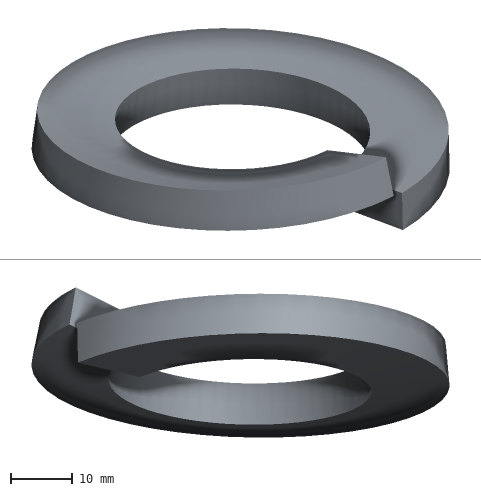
import cadquery as cq
import math

outer_radius = 34.1
bar_width = 12.8
bar_height = 6.8
pitch = 7.15

slit_width = 2.05
slit_center_y = -0.75
slit_length = 2 * bar_width
slit_height = 4 * bar_height
helix_slope = math.degrees(math.atan(pitch / (2 * math.pi * outer_radius)))

path = cq.Wire.makeHelix(pitch, pitch, outer_radius)

section = (
    cq.Workplane("XZ")
    .moveTo(outer_radius - bar_width / 2, bar_height / 2)
    .rect(bar_width, bar_height)
)

bar = section.sweep(cq.Workplane(obj=path), isFrenet=False)

slit = (
    cq.Workplane("XY")
    .box(slit_length, slit_width, slit_height)
    .rotate((0, 0, 0), (1, 0, 0), helix_slope)
    .translate((outer_radius - bar_width / 2, slit_center_y, bar_height))
)

result = bar.cut(slit)